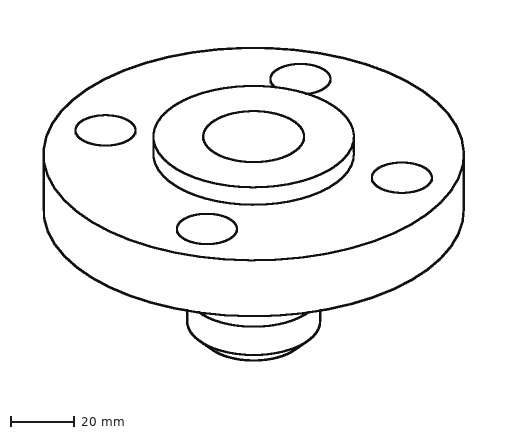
import cadquery as cq

flange_diameter = 133.4
flange_thickness = 20.5

face_diameter = 63.6
face_height = 6.4

hub_diameter = face_diameter
hub_height = 30.5
neck_diameter = 42.3
neck_height = 10.4
bevel_height = 5.1

bore_diameter = 32.0
bolt_hole_diameter = 19.1
bolt_circle_diameter = 98.5
bolt_count = 4
first_bolt_angle = 45.0

bevel_top = bevel_height
neck_top = bevel_top + neck_height
flange_bottom = neck_top + hub_height
flange_top = flange_bottom + flange_thickness
overall_height = flange_top + face_height


def turned_body():
    """Revolve the half section around Z; the bevel runs in to the edge of the bore."""
    section = [
        (bore_diameter / 2, 0),
        (neck_diameter / 2, bevel_top),
        (neck_diameter / 2, neck_top),
        (hub_diameter / 2, flange_bottom),
        (flange_diameter / 2, flange_bottom),
        (flange_diameter / 2, flange_top),
        (face_diameter / 2, flange_top),
        (face_diameter / 2, overall_height),
        (bore_diameter / 2, overall_height),
    ]
    return cq.Workplane("XZ").polyline(section).close().revolve(360, (0, 0, 0), (0, 1, 0))


def bolt_holes():
    """Cylinders that cut the bolt holes through the flange plate."""
    return (
        cq.Workplane("XY", origin=(0, 0, flange_bottom))
        .polarArray(bolt_circle_diameter / 2, first_bolt_angle, 360, bolt_count)
        .circle(bolt_hole_diameter / 2)
        .extrude(flange_thickness)
    )


result = turned_body().cut(bolt_holes())